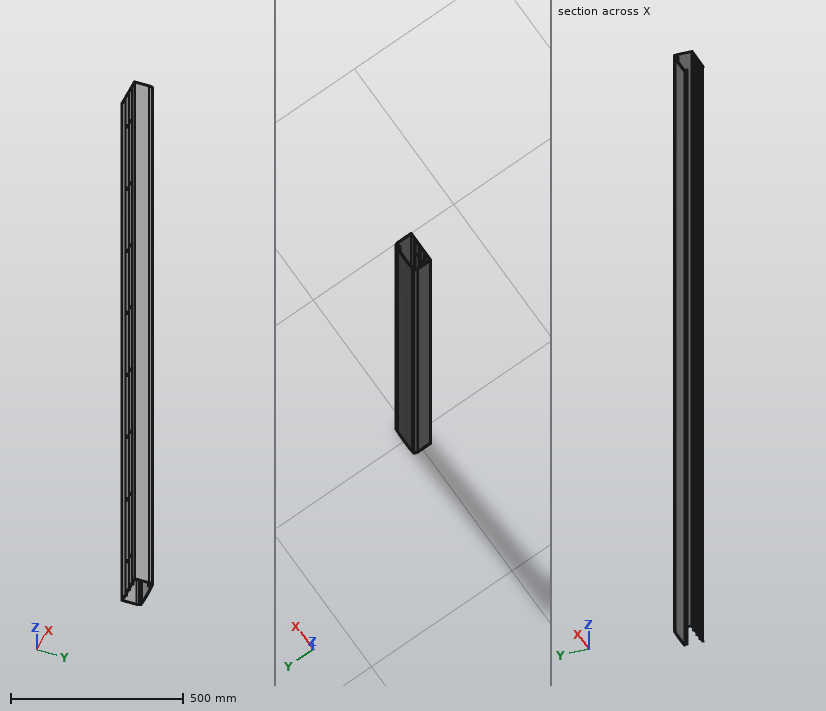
import cadquery as cq
import math

LENGTH = 2000.0
WIDTH = 100.0
BASE_DEPTH = 45.0
COVER_DEPTH = 14.8
WALL = 2.5

RIB_WIDTH = 1.5
RIB_HEIGHT = 5.0
SIDE_RIB_X = WIDTH / 4

HOLE_DIAMETER = 7.0
HOLE_X = 12.0
HOLE_ROWS = 8
HOLE_PITCH = LENGTH / HOLE_ROWS

SIDE_RADIUS = 22.0
CROWN = 1.8
LEG_X = 35.0
LEG_THICKNESS = 3.0
LEG_LENGTH = 10.0

TOP_Y = (BASE_DEPTH + COVER_DEPTH) / 2
FLOOR_Y = -TOP_Y
JOINT_Y = FLOOR_Y + BASE_DEPTH
SHOULDER_Y = TOP_Y - CROWN
BOTTOM_Z = -LENGTH / 2


def bar(x_min, x_max, y_min, y_max):
    """Full-length rectangular bar between the given X and Y limits."""
    block = cq.Workplane("XY").box(x_max - x_min, y_max - y_min, LENGTH, centered=False)
    return block.translate((x_min, y_min, BOTTOM_Z))


def upright(x, thickness, y_min, y_max):
    """Full-length thin bar centred on the given X."""
    return bar(x - thickness / 2, x + thickness / 2, y_min, y_max)


def make_base():
    """Channel open towards +Y, with ribs and fixing holes in its floor."""
    half = WIDTH / 2
    floor_top = FLOOR_Y + WALL
    base = bar(-half, half, FLOOR_Y, JOINT_Y)
    base = base.cut(bar(-half + WALL, half - WALL, floor_top, JOINT_Y))
    for x in (-SIDE_RIB_X, 0, SIDE_RIB_X):
        base = base.union(upright(x, RIB_WIDTH, FLOOR_Y, floor_top + RIB_HEIGHT))
    holes = (
        cq.Workplane("XZ", origin=(0, FLOOR_Y, 0))
        .rarray(2 * HOLE_X, HOLE_PITCH, 2, HOLE_ROWS)
        .circle(HOLE_DIAMETER / 2)
        .extrude(-WALL)
    )
    return base.cut(holes)


def cover_block(offset):
    """Solid cover shape with its curved sides and domed top moved inwards by the offset."""
    radius = SIDE_RADIUS - offset
    foot = WIDTH / 2 - offset
    shoulder_y = SHOULDER_Y - offset
    sweep = math.asin((shoulder_y - JOINT_Y) / radius)
    shoulder = foot - radius * (1 - math.cos(sweep))
    middle = foot - radius * (1 - math.cos(sweep / 2))
    middle_y = JOINT_Y + radius * math.sin(sweep / 2)
    return (
        cq.Workplane("XY", origin=(0, 0, BOTTOM_Z))
        .moveTo(-foot, JOINT_Y)
        .threePointArc((-middle, middle_y), (-shoulder, shoulder_y))
        .threePointArc((0, shoulder_y + CROWN), (shoulder, shoulder_y))
        .threePointArc((middle, middle_y), (foot, JOINT_Y))
        .close()
        .extrude(LENGTH)
    )


def make_cover():
    """Thin shell resting on the base's walls, with a leg hanging near each side."""
    cover = cover_block(0).cut(cover_block(WALL))
    for x in (-LEG_X, LEG_X):
        cover = cover.union(upright(x, LEG_THICKNESS, SHOULDER_Y - LEG_LENGTH, SHOULDER_Y))
    return cover


base = make_base()
cover = make_cover()
result = cq.Compound.makeCompound([base.solids().val(), cover.solids().val()])